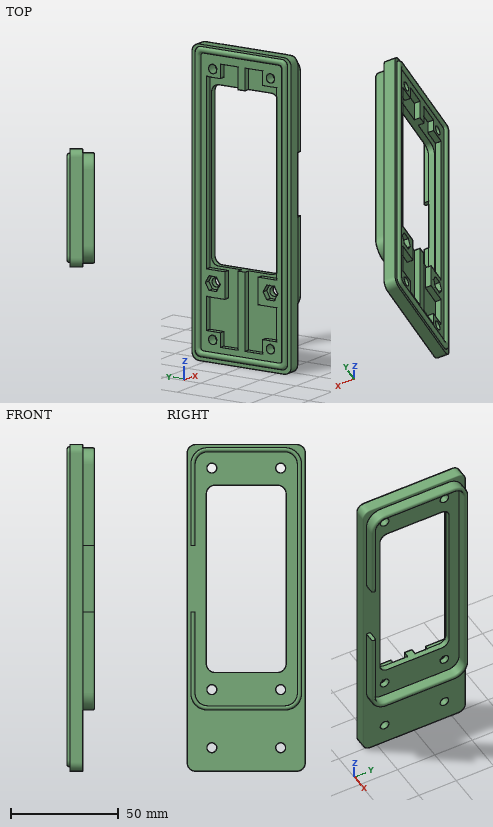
import cadquery as cq
import math

TOTAL_DEPTH = 13.0

PLATE_WIDTH = 55.0
PLATE_HEIGHT = 152.0
PLATE_THICKNESS = 6.0
PLATE_CORNER_RADIUS = 4.0
PLATE_BACK_FILLET = 0.5

CREST_FLAT = 0.02

BEAD_THICKNESS = 3.0
BEAD_HEIGHT = BEAD_THICKNESS / 2
BEAD_SIDE_INSET = 2.0
BEAD_BOTTOM_INSET = 2.0
BEAD_TOP_INSET = 1.0
BEAD_OUTER_RADIUS = 3.0
BEAD_INNER_RADIUS = 1.5
BEAD_EDGE_FILLET = (BEAD_THICKNESS - CREST_FLAT) / 2

WINDOW_WIDTH = 37.0
WINDOW_HEIGHT = 87.0
WINDOW_CENTER_Z = 13.5
WINDOW_CORNER_RADIUS = 4.0

RIM_WIDTH = 51.5
RIM_HEIGHT = 122.0
RIM_DEPTH = TOTAL_DEPTH - BEAD_HEIGHT - PLATE_THICKNESS
RIM_WALL = 2.0
RIM_CORNER_RADIUS = 7.75
RIM_EDGE_FILLET = (RIM_WALL - CREST_FLAT) / 2
RIM_NOTCH_HEIGHT = 31.0

POCKET_DEPTH = 3.0
POCKET_WIDTH = 39.0
POCKET_HEIGHT = 136.0
RIB_WIDTH = 4.0
CORNER_LAND_INNER_Y = 11.7
CORNER_LAND_INNER_Z = 61.0
NUT_LAND_INNER_Y = 9.25
NUT_LAND_HEIGHT = 13.25

HOLE_DIAMETER = 4.5
HOLE_Y = 16.0
CORNER_HOLE_Z = 65.0
NUT_HOLE_Z = -38.0
NUT_ACROSS_FLATS = 7.0
HEXAGON_SIDES = 6
NUT_RECESS_DEPTH = 3.0


def block(x_start, depth, width, height, y=0.0, z=0.0):
    """Box running from x_start towards +X, centred on (y, z)."""
    return cq.Workplane("YZ", origin=(x_start, y, z)).rect(width, height).extrude(depth)


def rounded_block(x_start, depth, width, height, radius, z=0.0):
    """Box like block(), with its four edges along X rounded."""
    return block(x_start, depth, width, height, z=z).edges("|X").fillet(radius)


def make_plate():
    """Rounded plate with a softened back edge."""
    plate = rounded_block(0, PLATE_THICKNESS, PLATE_WIDTH, PLATE_HEIGHT, PLATE_CORNER_RADIUS)
    return plate.faces(">X").edges().fillet(PLATE_BACK_FILLET)


def make_bead():
    """Half-round closed bead along the plate edge."""
    width = PLATE_WIDTH - 2 * BEAD_SIDE_INSET
    height = PLATE_HEIGHT - BEAD_BOTTOM_INSET - BEAD_TOP_INSET
    center_z = (BEAD_BOTTOM_INSET - BEAD_TOP_INSET) / 2
    outer = rounded_block(-BEAD_HEIGHT, BEAD_HEIGHT, width, height, BEAD_OUTER_RADIUS, center_z)
    inner = rounded_block(
        -BEAD_HEIGHT,
        BEAD_HEIGHT,
        width - 2 * BEAD_THICKNESS,
        height - 2 * BEAD_THICKNESS,
        BEAD_INNER_RADIUS,
        center_z,
    )
    return outer.cut(inner).faces("<X").edges().fillet(BEAD_EDGE_FILLET)


def make_rim():
    """Round-crested wall around the window, notched through its -Y side."""
    outer = rounded_block(
        PLATE_THICKNESS, RIM_DEPTH, RIM_WIDTH, RIM_HEIGHT, RIM_CORNER_RADIUS, WINDOW_CENTER_Z
    )
    inner = rounded_block(
        PLATE_THICKNESS,
        RIM_DEPTH,
        RIM_WIDTH - 2 * RIM_WALL,
        RIM_HEIGHT - 2 * RIM_WALL,
        RIM_CORNER_RADIUS - RIM_WALL,
        WINDOW_CENTER_Z,
    )
    rim = outer.cut(inner).faces(">X").edges().fillet(RIM_EDGE_FILLET)
    notch_y = (RIM_WALL - RIM_WIDTH) / 2
    return rim.cut(
        block(PLATE_THICKNESS, RIM_DEPTH, RIM_WALL, RIM_NOTCH_HEIGHT, notch_y, WINDOW_CENTER_Z)
    )


def make_pocket():
    """Volume removed from the front face: two recesses either side of the rib."""
    pocket = block(0, POCKET_DEPTH, POCKET_WIDTH, POCKET_HEIGHT)
    pocket = pocket.cut(block(0, POCKET_DEPTH, RIB_WIDTH, POCKET_HEIGHT))
    corner_width = POCKET_WIDTH / 2 - CORNER_LAND_INNER_Y
    corner_height = POCKET_HEIGHT / 2 - CORNER_LAND_INNER_Z
    corner_y = CORNER_LAND_INNER_Y + corner_width / 2
    corner_z = CORNER_LAND_INNER_Z + corner_height / 2
    nut_width = POCKET_WIDTH / 2 - NUT_LAND_INNER_Y
    nut_y = NUT_LAND_INNER_Y + nut_width / 2
    for side in (-1, 1):
        for end in (-1, 1):
            pocket = pocket.cut(
                block(0, POCKET_DEPTH, corner_width, corner_height, side * corner_y, end * corner_z)
            )
        pocket = pocket.cut(
            block(0, POCKET_DEPTH, nut_width, NUT_LAND_HEIGHT, side * nut_y, NUT_HOLE_Z)
        )
    return pocket


def make_holes():
    """Screw holes through the plate, with nut recesses on the lower middle pair."""
    hole_points = [
        (side * HOLE_Y, z) for side in (-1, 1) for z in (CORNER_HOLE_Z, NUT_HOLE_Z, -CORNER_HOLE_Z)
    ]
    nut_points = [(side * HOLE_Y, NUT_HOLE_Z) for side in (-1, 1)]
    holes = cq.Workplane("YZ").pushPoints(hole_points).circle(HOLE_DIAMETER / 2).extrude(PLATE_THICKNESS)
    nut_across_corners = NUT_ACROSS_FLATS / math.cos(math.pi / HEXAGON_SIDES)
    recesses = cq.Workplane("YZ").pushPoints(nut_points).polygon(HEXAGON_SIDES, nut_across_corners)
    return holes.union(recesses.extrude(NUT_RECESS_DEPTH))


window = rounded_block(
    0, PLATE_THICKNESS, WINDOW_WIDTH, WINDOW_HEIGHT, WINDOW_CORNER_RADIUS, WINDOW_CENTER_Z
)
plate = make_plate().cut(make_pocket()).cut(window).cut(make_holes())
result = plate.union(make_bead()).union(make_rim())